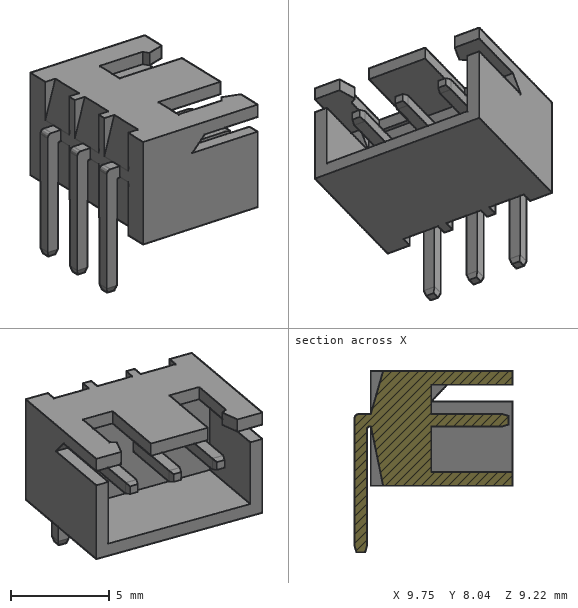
import cadquery as cq


overall_depth = 8.04
overall_height = 9.22

body_width = 9.75
body_depth = 7.215
body_height = 5.84
wall = 0.71
cavity_depth = 4.12

side_slot_height = 0.83
side_slot_top_depth = 3.33

latch_slot_outer_x = 3.41
latch_slot_inner_x = 1.67
latch_slot_depth = 3.92
barb_projection = 0.31
barb_peak_depth = 0.99
barb_end_depth = 1.2

pin_count = 3
pin_pitch = 2.54
pin_size = 0.64
pin_top_z = 3.66
pin_tip_length = 0.32
pin_tip_taper = 0.1
pin_front_gap = 0.2
pin_rear_reach = overall_depth - body_depth
pin_drop = overall_height - body_height
bend_outer_radius = 0.23
bend_inner_radius = 0.13

recess_width = 2.05
recess_depth = 0.62
upper_recess_bottom_z = 3.67
lower_recess_top_z = 3.04

pin_positions = [(i - (pin_count - 1) / 2) * pin_pitch for i in range(pin_count)]
ceiling_z = body_height - wall


def extrude_along_x(points, width, center_x=0.0):
    """Extrude a (Y, Z) outline along X, centred on center_x."""
    outline = cq.Workplane("YZ", origin=(center_x, 0, 0)).polyline(points).close()
    return outline.extrude(width / 2, both=True)


def make_shell():
    body = cq.Workplane("XY").box(body_width, body_depth, body_height, centered=(True, False, False))
    cavity = cq.Workplane("XY").box(
        body_width - 2 * wall, cavity_depth, ceiling_z - wall, centered=(True, False, False)
    )
    return body.cut(cavity.translate((0, body_depth - cavity_depth, wall)))


def make_side_slots():
    """One cutter that passes through both side walls."""
    floor_z = ceiling_z - side_slot_height
    return extrude_along_x(
        [
            (body_depth, floor_z),
            (body_depth - cavity_depth, floor_z),
            (body_depth - side_slot_top_depth, ceiling_z),
            (body_depth, ceiling_z),
        ],
        body_width,
    )


def make_latch_slot():
    """Slot on the +X side; its outer edge carries a barb near the mouth."""
    return (
        cq.Workplane("XY", origin=(0, 0, ceiling_z))
        .polyline(
            [
                (latch_slot_inner_x, body_depth),
                (latch_slot_inner_x, body_depth - latch_slot_depth),
                (latch_slot_outer_x, body_depth - latch_slot_depth),
                (latch_slot_outer_x, body_depth - barb_end_depth),
                (latch_slot_outer_x - barb_projection, body_depth - barb_peak_depth),
                (latch_slot_outer_x, body_depth),
            ]
        )
        .close()
        .extrude(wall)
    )


def make_recesses(center_x):
    """Wedges that are deepest at the top and bottom faces and run out level with the pin."""
    upper = extrude_along_x(
        [(0, upper_recess_bottom_z), (recess_depth, body_height), (0, body_height)], recess_width, center_x
    )
    lower = extrude_along_x(
        [(0, lower_recess_top_z), (recess_depth, 0), (0, 0)], recess_width, center_x
    )
    return upper.union(lower)


def make_pin_tip(plane):
    """Tapered square tip that grows from the plane along its normal."""
    end_size = pin_size - 2 * pin_tip_taper
    return (
        cq.Workplane(plane)
        .rect(pin_size, pin_size)
        .workplane(offset=pin_tip_length)
        .rect(end_size, end_size)
        .loft(combine=True)
    )


def make_pin(center_x):
    rear_y = -pin_rear_reach
    leg_front_y = rear_y + pin_size
    shank_bottom_z = pin_top_z - pin_size
    shank_end_y = body_depth - pin_front_gap - pin_tip_length
    leg_end_z = pin_tip_length - pin_drop

    bent_bar = extrude_along_x(
        [
            (shank_end_y, pin_top_z),
            (rear_y, pin_top_z),
            (rear_y, leg_end_z),
            (leg_front_y, leg_end_z),
            (leg_front_y, shank_bottom_z),
            (shank_end_y, shank_bottom_z),
        ],
        pin_size,
        center_x,
    )
    outer_corner = cq.selectors.NearestToPointSelector((center_x, rear_y, pin_top_z))
    inner_corner = cq.selectors.NearestToPointSelector((center_x, leg_front_y, shank_bottom_z))
    bent_bar = bent_bar.edges("|X").edges(outer_corner).fillet(bend_outer_radius)
    bent_bar = bent_bar.edges("|X").edges(inner_corner).fillet(bend_inner_radius)

    shank_center = (center_x, shank_end_y, pin_top_z - pin_size / 2)
    leg_center = (center_x, rear_y + pin_size / 2, leg_end_z)
    shank_tip = make_pin_tip(cq.Plane(shank_center, xDir=(1, 0, 0), normal=(0, 1, 0)))
    leg_tip = make_pin_tip(cq.Plane(leg_center, xDir=(1, 0, 0), normal=(0, 0, -1)))
    return bent_bar.union(shank_tip).union(leg_tip)


latch_slot = make_latch_slot()
result = make_shell().cut(make_side_slots())
result = result.cut(latch_slot).cut(latch_slot.mirror("YZ"))
for pin_x in pin_positions:
    result = result.cut(make_recesses(pin_x))
for pin_x in pin_positions:
    result = result.union(make_pin(pin_x))